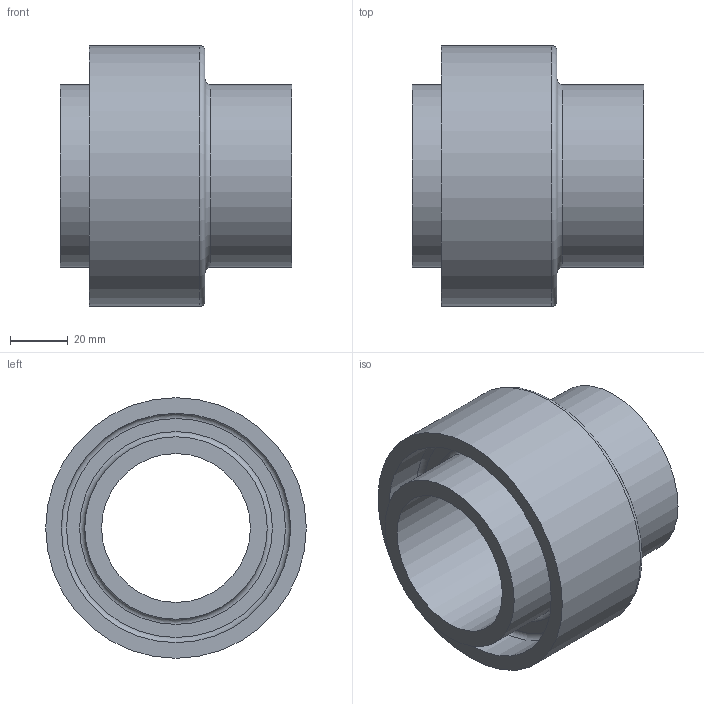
import cadquery as cq

tube_length = 80.0
tube_diameter = 63.0
bore_diameter = 51.4
collar_diameter = 90.0
recess_diameter = 79.2
collar_start = 10.0
collar_end = 50.0
recess_depth = 15.0
fillet_radius = 1.8
shoulder_radius = 2.0

tube_radius = tube_diameter / 2
bore_radius = bore_diameter / 2
collar_radius = collar_diameter / 2
recess_radius = recess_diameter / 2
recess_floor = collar_start + recess_depth


def make_body():
    """Turn the half section: tube, open recess and collar, with rounded corners."""
    section = (
        cq.Workplane("XY")
        .moveTo(0, bore_radius)
        .lineTo(0, tube_radius)
        .lineTo(recess_floor - fillet_radius, tube_radius)
        .tangentArcPoint((fillet_radius, fillet_radius))
        .lineTo(recess_floor, recess_radius - fillet_radius)
        .tangentArcPoint((-fillet_radius, fillet_radius))
        .lineTo(collar_start, recess_radius)
        .lineTo(collar_start, collar_radius)
        .lineTo(collar_end - fillet_radius, collar_radius)
        .tangentArcPoint((fillet_radius, -fillet_radius))
        .lineTo(collar_end, tube_radius + shoulder_radius)
        .tangentArcPoint((shoulder_radius, -shoulder_radius))
        .lineTo(tube_length, tube_radius)
        .lineTo(tube_length, bore_radius)
        .close()
    )
    return section.revolve(360, (0, 0, 0), (1, 0, 0))


result = make_body()